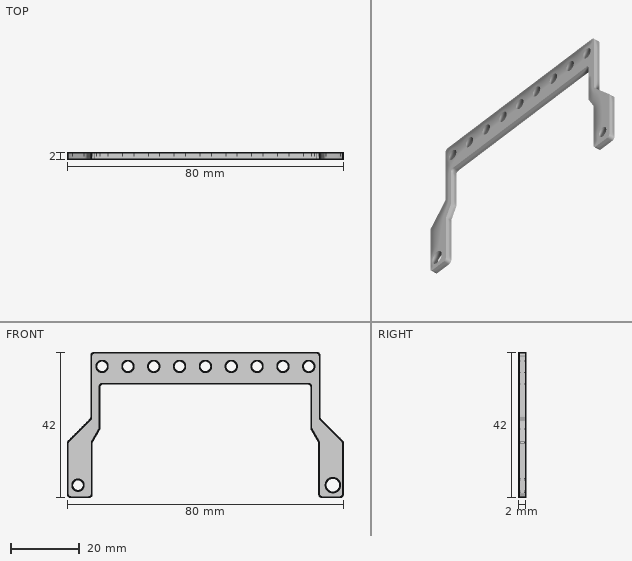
import cadquery as cq

overall_width = 80.0
overall_height = 42.0
thickness = 2.0

bridge_width = 66.4
bridge_depth = 9.0
opening_width = 61.4
leg_width = 7.0
outer_bend_top = 22.8
bend_bottom = 16.0
inner_bend_top = 19.9

corner_radius = 1.0
bend_radius = 0.8

bridge_hole_count = 9
bridge_hole_span = 60.0
bridge_hole_drop = 4.0
small_hole_diameter = 3.3
foot_hole_spacing = 74.0
foot_hole_height = 3.5
large_hole_diameter = 4.2

half_width = overall_width / 2
half_bridge = bridge_width / 2
half_opening = opening_width / 2
half_foot_gap = half_width - leg_width
bridge_bottom = overall_height - bridge_depth


def plate_outline():
    """Flat bridge with two cranked legs, symmetric about the Z axis."""
    right_side = [
        (half_bridge, overall_height),
        (half_bridge, outer_bend_top),
        (half_width, bend_bottom),
        (half_width, 0),
        (half_foot_gap, 0),
        (half_foot_gap, bend_bottom),
        (half_opening, inner_bend_top),
        (half_opening, bridge_bottom),
    ]
    left_side = [(-x, z) for x, z in reversed(right_side)]
    plate = cq.Workplane("XZ").polyline(right_side + left_side).close().extrude(thickness)
    return plate.translate((0, thickness / 2, 0))


def round_edges(plate, points, radius):
    """Round the through-thickness edges at the given (x, z) points on both sides."""
    for x, z in points:
        for side in (-1, 1):
            edge = cq.selectors.NearestToPointSelector((side * x, 0, z))
            plate = plate.edges("|Y").edges(edge).fillet(radius)
    return plate


def through_holes(points, diameter):
    """Cylinders along Y that pass through the whole plate."""
    drills = cq.Workplane("XZ").pushPoints(points).circle(diameter / 2)
    return drills.extrude(thickness, both=True)


plate = plate_outline()

corners = [
    (half_bridge, overall_height),
    (half_width, 0),
    (half_foot_gap, 0),
    (half_opening, bridge_bottom),
]
plate = round_edges(plate, corners, corner_radius)
outer_bends = [(half_bridge, outer_bend_top), (half_width, bend_bottom)]
plate = round_edges(plate, outer_bends, bend_radius)

hole_pitch = bridge_hole_span / (bridge_hole_count - 1)
hole_row_height = overall_height - bridge_hole_drop
small_holes = [
    (i * hole_pitch - bridge_hole_span / 2, hole_row_height)
    for i in range(bridge_hole_count)
]

small_holes.append((-foot_hole_spacing / 2, foot_hole_height))
large_holes = [(foot_hole_spacing / 2, foot_hole_height)]

plate = plate.cut(through_holes(small_holes, small_hole_diameter))
result = plate.cut(through_holes(large_holes, large_hole_diameter))